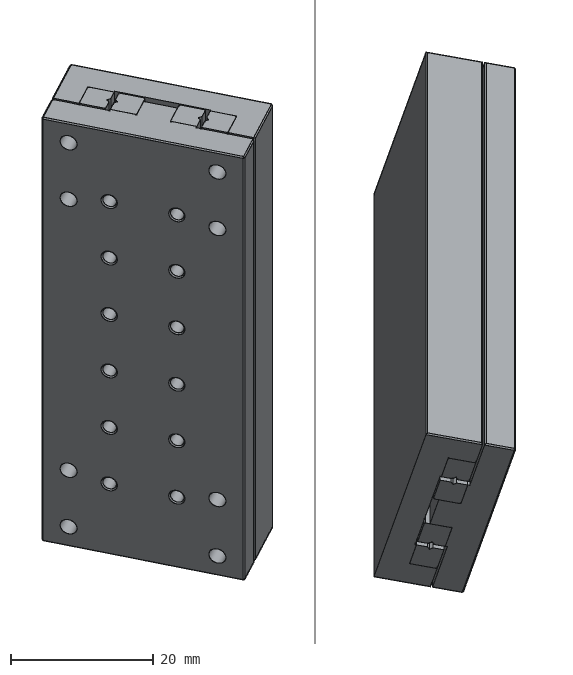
import cadquery as cq
import math


length = 75.0
width = 30.0
total_height = 13.0
edge_chamfer = 0.2

base_top = 4.5
carriage_bottom = 4.8
recess_roof = 9.0
boss_top = 8.0
rail_bottom = carriage_bottom
rail_height = 4.0
rail_top = rail_bottom + rail_height

rail_chamfer = 0.15
rail_width = 3.9
inner_rail_near = 2.5
inner_rail_far = inner_rail_near + rail_width
outer_rail_far = 11.0
outer_rail_near = outer_rail_far - rail_width
groove_depth = 0.4
groove_center = rail_bottom + rail_height / 2

mount_hole_diameter = 2.5
mount_hole_x = 11.0
mount_hole_z = (24.0, 34.0)
mouth_angle = 45.0
tapped_core_diameter = 2.0
tapped_mouth_diameter = 2.4
tapped_hole_x = 5.0
tapped_hole_pitch = 10.0
tapped_holes_per_row = 6


def block(half_width, y_min, y_max):
    """Full-length block, centred along X and Z."""
    height = y_max - y_min
    return cq.Workplane("XY").box(2 * half_width, height, length).translate((0, y_min + height / 2, 0))


def front_cylinders(points, diameter, depth):
    """Cylinders that run from the front face (y = 0) into the base."""
    return cq.Workplane("XZ").pushPoints(points).circle(diameter / 2).extrude(-depth)


def make_base():
    """Plate with a low seat for the inner rails, a boss between them and two sets of holes."""
    plate = block(width / 2, 0, base_top).edges("|Z or |Y or <Y").chamfer(edge_chamfer)
    rail_seat = block(inner_rail_far, base_top, rail_bottom)
    boss = block(inner_rail_near, base_top, boss_top)
    base = plate.union(rail_seat).union(boss)

    mount_points = [
        (side_x * mount_hole_x, side_z * z)
        for side_x in (-1, 1)
        for side_z in (-1, 1)
        for z in mount_hole_z
    ]
    base = base.cut(front_cylinders(mount_points, mount_hole_diameter, base_top))

    row_start = -tapped_hole_pitch * (tapped_holes_per_row - 1) / 2
    tapped_points = [
        (side * tapped_hole_x, row_start + tapped_hole_pitch * row)
        for side in (-1, 1)
        for row in range(tapped_holes_per_row)
    ]
    base = base.cut(front_cylinders(tapped_points, tapped_core_diameter, rail_bottom))
    mouth_width = (tapped_mouth_diameter - tapped_core_diameter) / 2
    mouth_depth = mouth_width / math.tan(math.radians(mouth_angle))
    mouths = (
        cq.Workplane("XZ")
        .pushPoints(tapped_points)
        .circle(tapped_mouth_diameter / 2)
        .extrude(-mouth_depth, taper=mouth_angle)
    )
    return base.cut(mouths)


def make_carriage():
    """Block with pockets for the outer rails and a deeper recess that clears the inner ones."""
    body = block(width / 2, carriage_bottom, total_height).edges("|Z or |Y").chamfer(edge_chamfer)
    rail_pockets = block(outer_rail_far, carriage_bottom, rail_top)
    middle_recess = block(outer_rail_near, carriage_bottom, recess_roof)
    return body.cut(rail_pockets).cut(middle_recess)


def make_rail(back_x, groove_x):
    """Rail with its back at back_x and a right-angled V groove along the face at groove_x.

    The two corners at the back are chamfered.
    """
    direction = 1 if back_x > groove_x else -1
    back_side = ">X" if direction > 0 else "<X"
    return (
        cq.Workplane("XY")
        .workplane(offset=-length / 2)
        .moveTo(back_x, rail_bottom)
        .lineTo(groove_x, rail_bottom)
        .lineTo(groove_x, groove_center - groove_depth)
        .lineTo(groove_x + direction * groove_depth, groove_center)
        .lineTo(groove_x, groove_center + groove_depth)
        .lineTo(groove_x, rail_top)
        .lineTo(back_x, rail_top)
        .close()
        .extrude(length)
        .edges(f"|Z and {back_side}")
        .chamfer(rail_chamfer)
    )


base = make_base()
carriage = make_carriage()
inner_rails = [make_rail(side * inner_rail_near, side * inner_rail_far) for side in (-1, 1)]
outer_rails = [make_rail(side * outer_rail_far, side * outer_rail_near) for side in (-1, 1)]

rails = [rail.val() for rail in inner_rails + outer_rails]
result = cq.Compound.makeCompound([base.val(), carriage.val(), *rails])